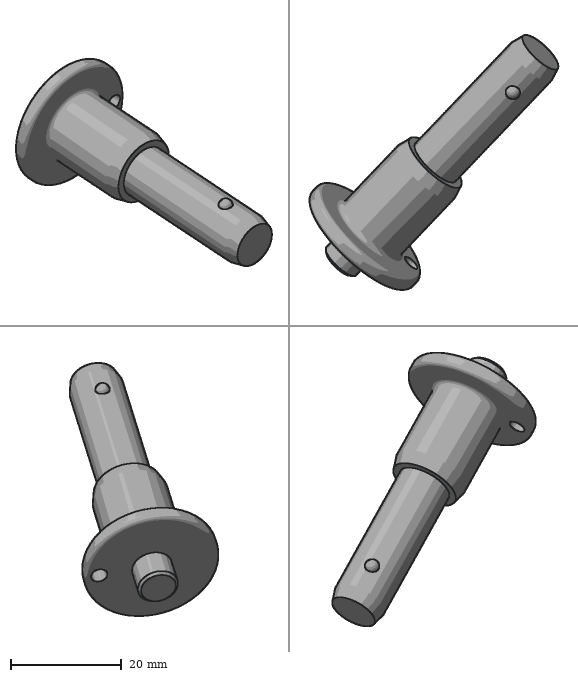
import cadquery as cq
import math

overall_length = 55.5
button_length = 5.5
flange_thickness = 3.0
collar_end = 26.5
taper_length = 2.5
taper_angle = 15.0

button_radius = 3.7
flange_radius = 12.5
collar_radius = 7.0
shank_radius = 5.0

button_chamfer = 0.5
edge_round = 1.0

hole_diameter = 3.0
hole_offset = 9.75

ball_radius = 1.35
ball_x = 47.9
ball_tip_height = 6.0

flange_back = button_length + flange_thickness
taper_drop = taper_length * math.tan(math.radians(taper_angle))
ball_center_height = ball_tip_height - ball_radius
round_mid = edge_round * (1 - math.sqrt(0.5))


def make_turned_pin():
    """Button, rounded flange, collar and shank, turned in one piece about X."""
    flange_flat_radius = flange_radius - edge_round
    profile = (
        cq.Workplane("XY")
        .moveTo(0, 0)
        .lineTo(0, button_radius - button_chamfer)
        .lineTo(button_chamfer, button_radius)
        .lineTo(button_length, button_radius)
        .lineTo(button_length, flange_flat_radius)
        .threePointArc(
            (button_length + round_mid, flange_radius - round_mid),
            (button_length + edge_round, flange_radius),
        )
        .lineTo(flange_back - edge_round, flange_radius)
        .threePointArc(
            (flange_back - round_mid, flange_radius - round_mid),
            (flange_back, flange_flat_radius),
        )
        .lineTo(flange_back, collar_radius + edge_round)
        .threePointArc(
            (flange_back + round_mid, collar_radius + round_mid),
            (flange_back + edge_round, collar_radius),
        )
        .lineTo(collar_end - taper_length, collar_radius)
        .lineTo(collar_end, collar_radius - taper_drop)
        .lineTo(collar_end, shank_radius)
        .lineTo(overall_length - taper_length, shank_radius)
        .lineTo(overall_length, shank_radius - taper_drop)
        .lineTo(overall_length, 0)
        .close()
    )
    return profile.revolve(360, (0, 0, 0), (1, 0, 0))


def make_lanyard_hole():
    """Cutter for the hole through the flange, parallel to X."""
    return (
        cq.Workplane("YZ", origin=(button_length, hole_offset, 0))
        .circle(hole_diameter / 2)
        .extrude(flange_thickness)
    )


def make_ball(side):
    """Locking ball on the +Z (side = 1) or -Z (side = -1) flank of the shank."""
    return cq.Workplane("XY").sphere(ball_radius).translate((ball_x, 0, side * ball_center_height))


balls = [make_ball(side) for side in (1, -1)]

pin = make_turned_pin().cut(make_lanyard_hole())
for ball in balls:
    pin = pin.cut(ball)

result = cq.Compound.makeCompound([pin.val(), *[ball.val() for ball in balls]])